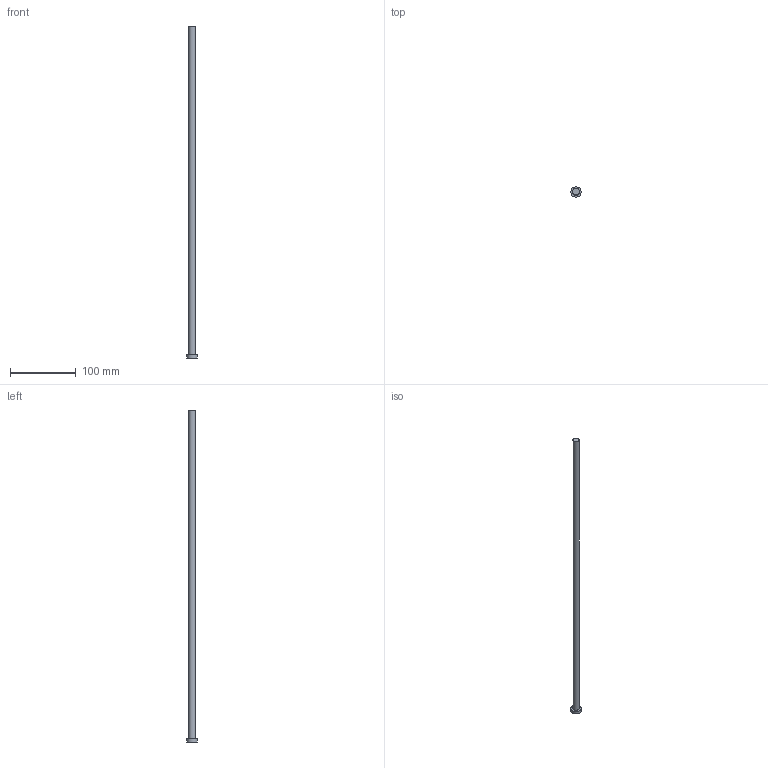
import cadquery as cq

TOTAL_LENGTH = 505.0
HEAD_DIAMETER = 16.0
HEAD_THICKNESS = 5.0
SHANK_DIAMETER = 10.0


def make_head():
    """Flat disc at the bottom end, with its underside at the lowest level."""
    return cq.Workplane("XY").circle(HEAD_DIAMETER / 2).extrude(HEAD_THICKNESS)


def make_shank():
    """Straight round rod running from the underside of the head to the tip."""
    return cq.Workplane("XY").circle(SHANK_DIAMETER / 2).extrude(TOTAL_LENGTH)


result = make_head().union(make_shank())